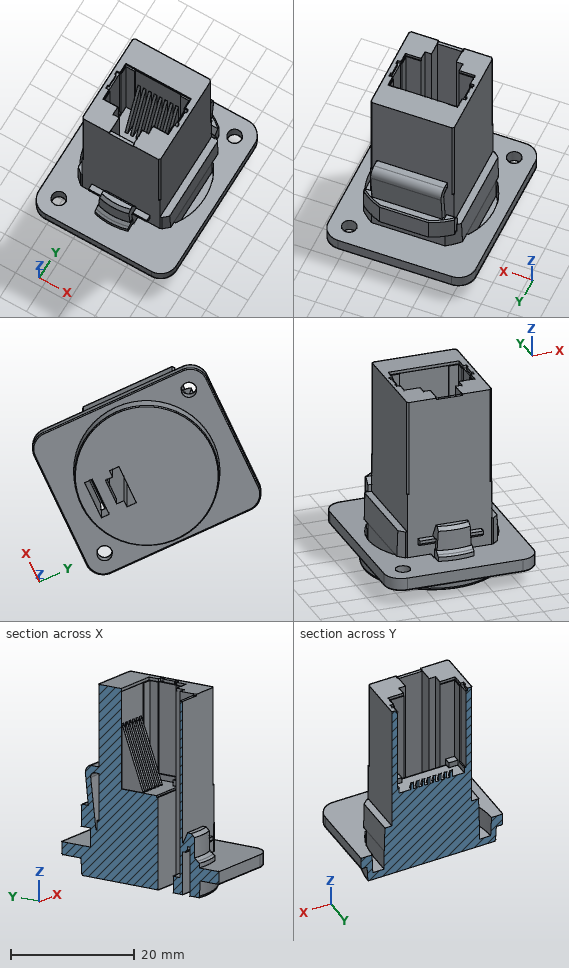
import cadquery as cq

FUSE = 0.4

PLATE_X, PLATE_Y = 26.0, 31.0
PLATE_BOTTOM, PLATE_TOP = 2.9, 5.15
PLATE_CORNER_R = 3.0
PLATE_EDGE_CHAMFER = 0.2
MOUNT_HOLE_D = 2.5
MOUNT_HOLE_X, MOUNT_HOLE_Y = 9.5, 12.0
NOSE_R, NOSE_BASE_R = 11.75, 11.9
NOSE_CHAMFER_Z, NOSE_CHAMFER_R = 0.35, 0.15
RECESS_R, RECESS_FLOOR_R = 10.9, 10.75
RECESS_HALF_Y = 6.1
RECESS_FLOOR = 1.5

BLOCK_X, BLOCK_Y = 14.7, 16.5
BLOCK_TOP = 33.0
CORNER_CHAMFER = 0.3
CORNER_CHAMFER_START = 16.5
FRONT_Y = -BLOCK_Y / 2
BACK_Y = BLOCK_Y / 2

COLLAR_R = 11.8
COLLAR_HALF_X = 8.75
COLLAR_TOP_HALF_X = 8.62
COLLAR_TOP = 9.8
COLLAR_FRONT_Y, COLLAR_BACK_Y = -8.16, 9.87
COLLAR_STEP_Y, COLLAR_STEP_Z = 8.6, 8.25
COLLAR_CHAMFER_X, COLLAR_CHAMFER_Y = 1.1, 1.0

CATCH_HALF_X = 8.0
CATCH_R = 12.45
CATCH_BACK_Y = 11.68
CATCH_BOTTOM, CATCH_TOP = 8.3, 12.15
CATCH_EDGE_CHAMFER = 0.25
CATCH_SLOPE_Y, CATCH_SLOPE_DROP = 9.15, 1.1
CATCH_SLOT_HALF_X, CATCH_SLOT_Y = 6.45, 9.93
LEVER_HALF_X = 6.2
LEVER_THICKNESS = 1.2
LEVER_BACK_Y, LEVER_TOP = 11.05, 19.0
LEVER_BEND_R, LEVER_INNER_BEND_R = 1.4, 0.75
LEVER_TIP_Y, LEVER_TIP_Z = 9.87, 7.75

LATCH_FOOT_R, LATCH_STEP_R, LATCH_ARM_R = 11.75, 11.35, 10.78
LATCH_INNER_Y = -9.63
LATCH_FOOT_HALF_X, LATCH_ARM_HALF_X, LATCH_TIP_HALF_X = 3.1, 2.97, 2.73
LATCH_FOOT_EDGE_Z, LATCH_STEP_Z, LATCH_FOOT_TOP = 5.9, 6.2, 6.65
LATCH_HOOK_Z = 8.3
LATCH_TOP = 10.7
LATCH_TOP_CHAMFER = 0.6
LATCH_TIP_Y, LATCH_NOSE_Z = -9.22, 8.72
LATCH_SLOT_HALF_X = 3.24
RIB_HALF_X = 5.5
RIB_DEPTH = 1.05
RIB_BOTTOM, RIB_TOP = 7.27, 8.3
RIB_CHAMFER = 0.5

RIM_HALF_X, RIM_BACK_Y, RIM_FRONT_Y, RIM_DEPTH = 6.13, 3.72, -3.57, 0.5
CAVITY_HALF_X, CAVITY_BACK_Y, CAVITY_FRONT_Y = 5.95, 3.44, -3.43
CAVITY_FLOOR = 16.0
POST_INNER_X = 4.3
BACK_WALL_Y = 3.66
FLOOR_EDGE_Y, FLOOR_STEP = -3.2, 0.3
PAD_BACK_Y, PAD_HEIGHT = -2.27, 1.0
TAB_HALF_X, TAB_FRONT_Y = 3.34, -5.1
KEY_HALF_X, KEY_FRONT_Y = 2.18, -7.7
KEY_SILL_Y = -6.4
NOTCH_HALF_X, NOTCH_DEPTH = 2.25, 0.25
SIDE_HALF_X, SIDE_BACK_Y, SIDE_FRONT_Y = 6.2, 1.83, -1.68
SIDE_FLOOR = 17.0
EAR_HALF_X, EAR_MIDDLE_HALF_X = 6.73, 6.48
EAR_MIDDLE_BACK_Y, EAR_MIDDLE_FRONT_Y = 1.2, -1.05

CONTACT_COUNT = 8
CONTACT_PITCH = 1.016
CONTACT_WIDTH = 0.5
CONTACT_TOP = 27.0
CONTACT_FRONT_Y = -0.5


def box(half_x, y0, y1, z0, z1):
    """Box centred on X = 0 between two Y and two Z positions."""
    centre = (0, (y0 + y1) / 2, (z0 + z1) / 2)
    return cq.Workplane("XY").box(2 * half_x, y1 - y0, z1 - z0).translate(centre)


def side_profile(points, half_x):
    """Extrude a closed (Y, Z) outline symmetrically along X."""
    return cq.Workplane("YZ").polyline(points).close().extrude(half_x, both=True)


def make_plate():
    plate = (
        cq.Workplane("XY")
        .workplane(offset=PLATE_BOTTOM)
        .rect(PLATE_X, PLATE_Y)
        .extrude(PLATE_TOP - PLATE_BOTTOM)
        .edges("|Z")
        .fillet(PLATE_CORNER_R)
        .faces("<Z")
        .chamfer(PLATE_EDGE_CHAMFER)
    )
    nose_outline = [
        (0, 0),
        (NOSE_R - NOSE_CHAMFER_R, 0),
        (NOSE_R, NOSE_CHAMFER_Z),
        (NOSE_BASE_R, PLATE_BOTTOM),
        (NOSE_BASE_R, PLATE_BOTTOM + FUSE),
        (0, PLATE_BOTTOM + FUSE),
    ]
    nose = cq.Workplane("XZ").polyline(nose_outline).close().revolve(360, (0, 0), (0, 1))
    holes = (
        cq.Workplane("XY")
        .pushPoints([(MOUNT_HOLE_X, MOUNT_HOLE_Y), (-MOUNT_HOLE_X, -MOUNT_HOLE_Y)])
        .circle(MOUNT_HOLE_D / 2)
        .extrude(PLATE_TOP)
    )
    recess_depth = PLATE_TOP - RECESS_FLOOR
    recess_cone = cq.Solid.makeCone(RECESS_FLOOR_R, RECESS_R, recess_depth, cq.Vector(0, 0, RECESS_FLOOR))
    recess = cq.Workplane(recess_cone)
    recess = recess.intersect(box(PLATE_X, -RECESS_HALF_Y, RECESS_HALF_Y, 0, BLOCK_TOP))
    recess = recess.cut(box(COLLAR_HALF_X, -PLATE_Y, PLATE_Y, 0, BLOCK_TOP))
    return plate.union(nose).cut(holes).cut(recess)


def make_block():
    lower = box(BLOCK_X / 2, FRONT_Y, BACK_Y, PLATE_TOP - FUSE, CORNER_CHAMFER_START)
    upper = box(BLOCK_X / 2, FRONT_Y, BACK_Y, CORNER_CHAMFER_START, BLOCK_TOP)
    return lower.union(upper.edges("|Z").chamfer(CORNER_CHAMFER))


def make_collar():
    """Foot collar: a cylinder trimmed by drafted flat sides, with a lower rear shelf."""
    height = COLLAR_TOP - RECESS_FLOOR
    disc = cq.Workplane("XY").workplane(offset=RECESS_FLOOR).circle(COLLAR_R).extrude(height)
    flats = [
        (-COLLAR_HALF_X, 0),
        (COLLAR_HALF_X, 0),
        (COLLAR_HALF_X, PLATE_TOP),
        (COLLAR_TOP_HALF_X, COLLAR_TOP),
        (-COLLAR_TOP_HALF_X, COLLAR_TOP),
        (-COLLAR_HALF_X, PLATE_TOP),
    ]
    trim = cq.Workplane("XZ").polyline(flats).close().extrude(PLATE_Y, both=True)
    outline = [
        (COLLAR_HALF_X, COLLAR_BACK_Y),
        (COLLAR_HALF_X, COLLAR_FRONT_Y + COLLAR_CHAMFER_Y),
        (COLLAR_HALF_X - COLLAR_CHAMFER_X, COLLAR_FRONT_Y),
        (-COLLAR_HALF_X + COLLAR_CHAMFER_X, COLLAR_FRONT_Y),
        (-COLLAR_HALF_X, COLLAR_FRONT_Y + COLLAR_CHAMFER_Y),
        (-COLLAR_HALF_X, COLLAR_BACK_Y),
    ]
    plan = cq.Workplane("XY").polyline(outline).close().extrude(COLLAR_TOP)
    shelf_gap = box(PLATE_X, COLLAR_STEP_Y, PLATE_Y, COLLAR_STEP_Z, BLOCK_TOP)
    return disc.intersect(trim).intersect(plan).cut(shelf_gap)


def make_catch():
    disc = (
        cq.Workplane("XY")
        .workplane(offset=CATCH_BOTTOM)
        .circle(CATCH_R)
        .extrude(CATCH_TOP - CATCH_BOTTOM)
        .faces(">Z")
        .chamfer(CATCH_EDGE_CHAMFER)
    )
    catch = disc.intersect(box(CATCH_HALF_X, BACK_Y, CATCH_BACK_Y, CATCH_BOTTOM, CATCH_TOP))
    catch = catch.faces(">Y").edges(">Z").chamfer(CATCH_EDGE_CHAMFER)
    slope = [(CATCH_SLOPE_Y, CATCH_TOP), (BACK_Y, CATCH_TOP), (BACK_Y, CATCH_TOP - CATCH_SLOPE_DROP)]
    slot = box(CATCH_SLOT_HALF_X, BACK_Y, CATCH_SLOT_Y, CATCH_BOTTOM, CATCH_TOP)
    return catch.cut(side_profile(slope, CATCH_HALF_X)).cut(slot)


def make_lever():
    """Bent spring lever running from the block's back wall down through the catch."""
    inner_y = LEVER_BACK_Y - LEVER_THICKNESS
    arm_outline = [
        (BACK_Y - FUSE, LEVER_TOP),
        (LEVER_BACK_Y, LEVER_TOP),
        (LEVER_TIP_Y, LEVER_TIP_Z),
        (LEVER_TIP_Y - LEVER_THICKNESS, LEVER_TIP_Z),
        (inner_y, LEVER_TOP - LEVER_THICKNESS),
        (BACK_Y - FUSE, LEVER_TOP - LEVER_THICKNESS),
    ]
    lever = side_profile(arm_outline, LEVER_HALF_X)
    lever = lever.edges("|X").edges(">Y").fillet(LEVER_BEND_R)
    inner_bend = cq.selectors.NearestToPointSelector((0, inner_y, LEVER_TOP - LEVER_THICKNESS))
    return lever.edges("|X").edges(inner_bend).fillet(LEVER_INNER_BEND_R)


def make_latch():
    """Hook with a round outer face about the Z axis and sides that narrow upward."""
    foot_z = PLATE_TOP - FUSE
    outer_outline = [
        (0, foot_z),
        (-LATCH_FOOT_R, foot_z),
        (-LATCH_FOOT_R, LATCH_FOOT_EDGE_Z),
        (-LATCH_STEP_R, LATCH_STEP_Z),
        (-LATCH_ARM_R, LATCH_FOOT_TOP),
        (-LATCH_ARM_R, LATCH_TOP - LATCH_TOP_CHAMFER),
        (-LATCH_ARM_R + LATCH_TOP_CHAMFER, LATCH_TOP),
        (0, LATCH_TOP),
    ]
    hook = cq.Workplane("YZ").polyline(outer_outline).close().revolve(360, (0, 0), (0, 1))
    inner_outline = [
        (0, foot_z),
        (LATCH_INNER_Y, foot_z),
        (LATCH_INNER_Y, LATCH_HOOK_Z),
        (FRONT_Y + FUSE, LATCH_HOOK_Z),
        (FRONT_Y + FUSE, LATCH_NOSE_Z),
        (FRONT_Y, LATCH_NOSE_Z),
        (LATCH_TIP_Y, LATCH_TOP),
        (0, LATCH_TOP),
    ]
    inner_side = side_profile(inner_outline, PLATE_X)
    half_outline = [
        (LATCH_FOOT_HALF_X, foot_z),
        (LATCH_FOOT_HALF_X, LATCH_FOOT_TOP),
        (LATCH_ARM_HALF_X, LATCH_FOOT_TOP),
        (LATCH_TIP_HALF_X, LATCH_TOP),
    ]
    mirrored = [(-x, z) for x, z in reversed(half_outline)]
    taper = cq.Workplane("XZ").polyline(half_outline + mirrored).close().extrude(PLATE_Y)
    rib_front = FRONT_Y - RIB_DEPTH
    rib_outline = [
        (FRONT_Y + FUSE, RIB_TOP),
        (rib_front, RIB_TOP),
        (rib_front, RIB_BOTTOM + RIB_CHAMFER),
        (rib_front + RIB_CHAMFER, RIB_BOTTOM),
        (FRONT_Y + FUSE, RIB_BOTTOM),
    ]
    rib = side_profile(rib_outline, RIB_HALF_X)
    return hook.intersect(taper).cut(inner_side).union(rib)


def make_latch_slot():
    """Opening behind the latch arm, right through the plate and the nose."""
    return box(LATCH_SLOT_HALF_X, LATCH_INNER_Y, FRONT_Y, 0, PLATE_TOP)


def make_plug_opening():
    rim_z = BLOCK_TOP - RIM_DEPTH
    cavity = box(CAVITY_HALF_X, CAVITY_FRONT_Y, CAVITY_BACK_Y, CAVITY_FLOOR, BLOCK_TOP)
    pad_half_x = (CAVITY_HALF_X - POST_INNER_X) / 2
    pad = box(pad_half_x, CAVITY_FRONT_Y, PAD_BACK_Y, CAVITY_FLOOR, CAVITY_FLOOR + PAD_HEIGHT)
    for pad_side in (-1, 1):
        pad_x = pad_side * (CAVITY_HALF_X + POST_INNER_X) / 2
        cavity = cavity.cut(pad.translate((pad_x, 0, 0)))
    pockets = [
        box(RIM_HALF_X, RIM_FRONT_Y, RIM_BACK_Y, rim_z, BLOCK_TOP),
        box(POST_INNER_X, CAVITY_FRONT_Y, BACK_WALL_Y, CAVITY_FLOOR, BLOCK_TOP),
        box(POST_INNER_X, CAVITY_FRONT_Y, FLOOR_EDGE_Y, CAVITY_FLOOR - FLOOR_STEP, BLOCK_TOP),
        box(SIDE_HALF_X, SIDE_FRONT_Y, SIDE_BACK_Y, SIDE_FLOOR, BLOCK_TOP),
        box(EAR_MIDDLE_HALF_X, SIDE_FRONT_Y, SIDE_BACK_Y, rim_z, BLOCK_TOP),
        box(EAR_HALF_X, EAR_MIDDLE_BACK_Y, SIDE_BACK_Y, rim_z, BLOCK_TOP),
        box(EAR_HALF_X, SIDE_FRONT_Y, EAR_MIDDLE_FRONT_Y, rim_z, BLOCK_TOP),
        box(TAB_HALF_X, TAB_FRONT_Y, CAVITY_FRONT_Y, 0, BLOCK_TOP),
        box(KEY_HALF_X, KEY_FRONT_Y, TAB_FRONT_Y, PLATE_BOTTOM, BLOCK_TOP),
        box(KEY_HALF_X, KEY_SILL_Y, TAB_FRONT_Y, 0, BLOCK_TOP),
        box(NOTCH_HALF_X, FRONT_Y, KEY_FRONT_Y, BLOCK_TOP - NOTCH_DEPTH, BLOCK_TOP),
    ]
    for pocket in pockets:
        cavity = cavity.union(pocket)
    return cavity


def make_contacts():
    """Row of wedge-shaped contacts leaning from the back wall down to the cavity floor."""
    back = BACK_WALL_Y + FUSE
    outline = [
        (back, CAVITY_FLOOR - FUSE),
        (back, CONTACT_TOP),
        (BACK_WALL_Y, CONTACT_TOP),
        (CONTACT_FRONT_Y, CAVITY_FLOOR),
        (CONTACT_FRONT_Y, CAVITY_FLOOR - FUSE),
    ]
    contact = side_profile(outline, CONTACT_WIDTH / 2)
    row = []
    for index in range(CONTACT_COUNT):
        x = (index - (CONTACT_COUNT - 1) / 2) * CONTACT_PITCH
        row.append(contact.translate((x, 0, 0)))
    return row


result = make_plate().union(make_collar()).union(make_block())
result = result.cut(make_latch_slot()).cut(make_plug_opening())
result = result.union(make_catch()).union(make_lever()).union(make_latch())
for contact_body in make_contacts():
    result = result.union(contact_body)